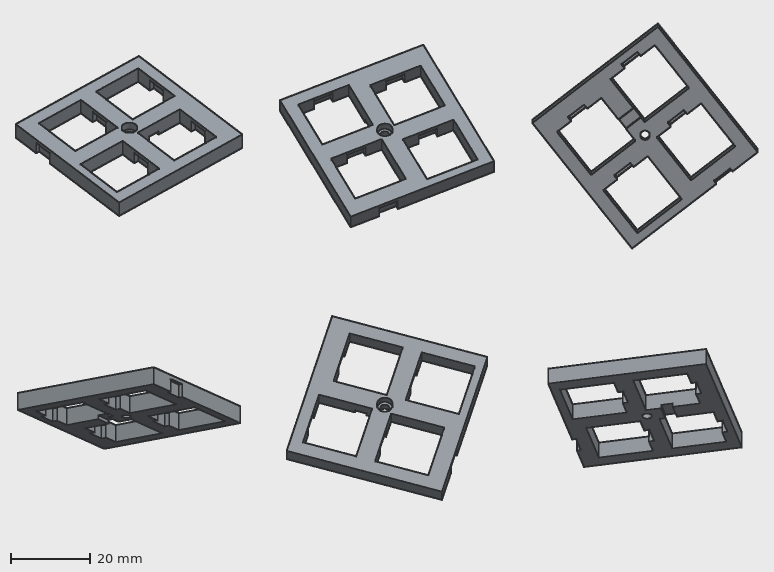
import cadquery as cq

plate_x = 40.25
plate_y = 40.94
plate_z = 4.5

window_x = 14.2
window_y = 14.0
window_pitch = 19.0
first_window_left = 3.55
first_window_front = 4.68
second_column_shift = -2.4
windows_per_side = 2

notch_width = 5.2
notch_height = 3.4
window_notch_depth = 1.35
front_notch_depth = 1.0

channel_rear = 28.2
channel_width = 3.0
channel_height = 1.0

screw_diameter = 2.4
head_diameter = 4.0
head_depth = plate_z / 2
screw_x = 19.75
screw_y = 20.94


def box_from_corner(size_x, size_y, size_z, corner):
    return cq.Workplane("XY").box(size_x, size_y, size_z, centered=False).translate(corner)


def window_corner(column, row):
    """Front left bottom corner of one window."""
    left = first_window_left + column * window_pitch
    front = first_window_front + column * second_column_shift + row * window_pitch
    return left, front


def notch(window_left, wall_y, depth):
    """Notch that runs towards +Y from a wall, below one window's middle."""
    left = window_left + (window_x - notch_width) / 2
    return box_from_corner(notch_width, depth, notch_height, (left, wall_y, 0))


def cut_window(body, column, row):
    """Cut one through window with a notch in its +Y wall."""
    left, front = window_corner(column, row)
    window = box_from_corner(window_x, window_y, plate_z, (left, front, 0))
    return body.cut(window).cut(notch(left, front + window_y, window_notch_depth))


def cut_channel(body):
    """Cut the channel across the bottom of the rib between the rear windows."""
    rear_row = windows_per_side - 1
    left_window, _ = window_corner(0, rear_row)
    rib_left = left_window + window_x
    rib_right, _ = window_corner(1, rear_row)
    corner = (rib_left, channel_rear - channel_width, 0)
    return body.cut(box_from_corner(rib_right - rib_left, channel_width, channel_height, corner))


def cut_screw_hole(body):
    """Cut the counterbored hole from the top face."""
    top = cq.Workplane("XY", origin=(screw_x, screw_y, plate_z))
    shank = top.circle(screw_diameter / 2).extrude(-plate_z)
    head = top.circle(head_diameter / 2).extrude(-head_depth)
    return body.cut(shank).cut(head)


plate = box_from_corner(plate_x, plate_y, plate_z, (0, 0, 0))
for column in range(windows_per_side):
    for row in range(windows_per_side):
        plate = cut_window(plate, column, row)

plate = plate.cut(notch(first_window_left, 0, front_notch_depth))

plate = cut_channel(plate)
result = cut_screw_hole(plate)